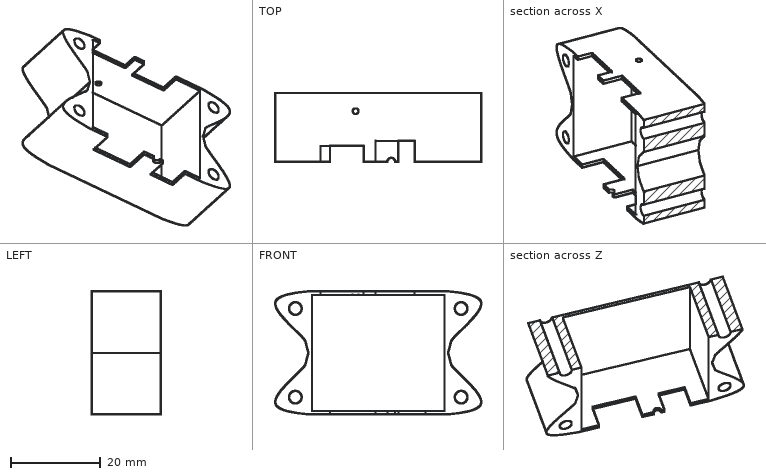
import cadquery as cq

DEPTH = 15.5
HEIGHT = 27.65
WALL = 0.85

BODY_WIDTH = 31.32
POCKET_WIDTH = BODY_WIDTH - 2 * WALL
POCKET_HEIGHT = HEIGHT - 2 * WALL
POCKET_DEPTH = DEPTH - WALL

EAR_TIP = (23.1, 10.95)
WAIST_FLANK = (16.4, 2.75)
TOP_DIRECTION = (1.0, -0.1)
WAIST_DIRECTION = (-0.3, -1.0)

MOUNT_HOLE_DIAMETER = 2.75
MOUNT_SPACING_X = 37.15
MOUNT_SPACING_Z = 19.85

TOP_NOTCHES = [(-12.9, -3.3, 3.6), (-0.65, 8.15, 4.7)]
BOTTOM_NOTCHES = [(-10.75, -0.65, 5.35), (4.55, 10.63, 4.7)]

RELIEF_X = 2.9
RELIEF_RADIUS = 0.9

PIN_HOLE_X = -5.1
PIN_HOLE_Y = 11.35
PIN_HOLE_DIAMETER = 1.3


def make_block():
    """Solid body with four ears, mirrored from its upper right quarter."""
    top_corner = (BODY_WIDTH / 2, HEIGHT / 2)
    waist = (BODY_WIDTH / 2, 0)
    quarter = (
        cq.Workplane("XZ")
        .lineTo(0, HEIGHT / 2)
        .lineTo(*top_corner)
        .spline(
            [EAR_TIP, WAIST_FLANK, waist],
            tangents=[TOP_DIRECTION, WAIST_DIRECTION],
            includeCurrent=True,
        )
        .close()
        .extrude(-DEPTH)
    )
    upper_half = quarter.union(quarter.mirror("YZ"))
    return upper_half.union(upper_half.mirror("XY")).clean()


def make_pocket():
    return cq.Workplane("XZ").rect(POCKET_WIDTH, POCKET_HEIGHT).extrude(-POCKET_DEPTH)


def make_mount_holes():
    return (
        cq.Workplane("XZ")
        .rect(MOUNT_SPACING_X, MOUNT_SPACING_Z, forConstruction=True)
        .vertices()
        .circle(MOUNT_HOLE_DIAMETER / 2)
        .extrude(-DEPTH)
    )


def make_notch(left, right, depth, wall_base):
    """Box cutter through one wall, whose lower face is at height wall_base."""
    return cq.Workplane("XY").box(right - left, depth, WALL, centered=False).translate((left, 0, wall_base))


def make_wall_hole(x, y, radius, wall_base):
    """Round cutter through one wall, whose lower face is at height wall_base."""
    return cq.Workplane("XY").circle(radius).extrude(WALL).translate((x, y, wall_base))


top_wall_base = POCKET_HEIGHT / 2
bottom_wall_base = -HEIGHT / 2

result = make_block().cut(make_pocket()).cut(make_mount_holes())

for wall_base, notches in ((top_wall_base, TOP_NOTCHES), (bottom_wall_base, BOTTOM_NOTCHES)):
    for left, right, depth in notches:
        result = result.cut(make_notch(left, right, depth, wall_base))

result = result.cut(make_wall_hole(RELIEF_X, 0, RELIEF_RADIUS, bottom_wall_base))
result = result.cut(make_wall_hole(PIN_HOLE_X, PIN_HOLE_Y, PIN_HOLE_DIAMETER / 2, top_wall_base))